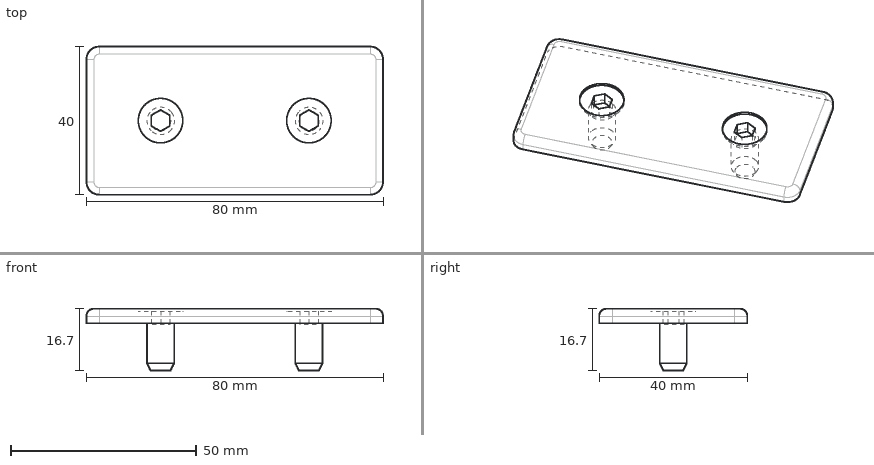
import cadquery as cq

plate_length = 80.0
plate_width = 40.0
plate_thickness = 4.0
corner_radius = 3.5
edge_radius = 2.0

screw_spacing = 40.0
shank_diameter = 7.4
shank_length = 12.7
tip_diameter = 5.4
tip_length = 2.0

recess_diameter = 12.0
recess_depth = 0.7
socket_across_flats = 5.0
socket_depth = 3.5


def make_plate():
    """Rectangular plate with rounded corners and a rounded top edge."""
    plate = cq.Workplane("XY").box(
        plate_length, plate_width, plate_thickness, centered=(True, True, False)
    )
    plate = plate.edges("|Z").fillet(corner_radius)
    return plate.faces(">Z").edges().fillet(edge_radius)


def make_shank(x):
    """Screw shank with a tapered tip, revolved about the screw axis at x."""
    shank_radius = shank_diameter / 2
    tip_radius = tip_diameter / 2
    profile = (
        cq.Workplane("XZ")
        .polyline(
            [
                (0, 0),
                (shank_radius, 0),
                (shank_radius, tip_length - shank_length),
                (tip_radius, -shank_length),
                (0, -shank_length),
            ]
        )
        .close()
    )
    return profile.revolve(360, (0, 0), (0, 1)).translate((x, 0, 0))


def make_head_cut(x):
    """Recess and hexagon socket below it, sunk from the plate top at x."""
    recess_floor = plate_thickness - recess_depth
    recess = (
        cq.Workplane("XY", origin=(x, 0, recess_floor))
        .circle(recess_diameter / 2)
        .extrude(recess_depth)
    )
    socket = (
        cq.Workplane("XY", origin=(x, 0, recess_floor))
        .polygon(6, socket_across_flats, circumscribed=True)
        .extrude(-socket_depth)
    )
    return recess.union(socket)


result = make_plate()
for screw_x in (-screw_spacing / 2, screw_spacing / 2):
    result = result.union(make_shank(screw_x))
    result = result.cut(make_head_cut(screw_x))